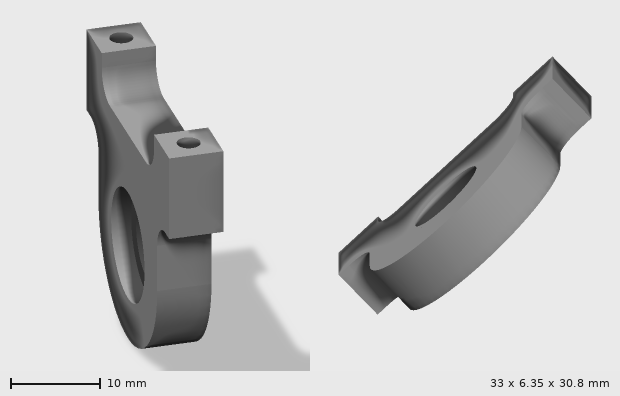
import cadquery as cq

total_width = 33.02
total_height = 30.8
thickness = 6.35
round_radius = 11.72
ear_height = 10.17
ear_width = 6.08
notch_depth = 5.05
fillet_radius = 3.2

counterbore_radius = 6.67
counterbore_depth = 2.35
bushing_outer_radius = 5.6
bushing_inner_radius = 4.75

screw_hole_radius = 1.35
screw_hole_depth = 8.0
screw_hole_inset = 3.07
drill_tip_height = 0.8

half_width = total_width / 2
top_z = total_height - round_radius
ear_bottom_z = top_z - ear_height
notch_floor_z = top_z - notch_depth
notch_half_width = half_width - ear_width
screw_hole_x = half_width - screw_hole_inset
front_y = -thickness / 2
back_y = thickness / 2
counterbore_floor_y = front_y + counterbore_depth


def y_cylinder(radius, start_y, end_y):
    """Cylinder on the bore axis between two Y positions."""
    plane = cq.Workplane("XZ", origin=(0, start_y, 0))
    return plane.circle(radius).extrude(start_y - end_y)


def make_plate():
    """Eared plate with a round lower end and a notched top."""
    plate = (
        cq.Workplane("XZ", origin=(0, back_y, 0))
        .moveTo(-round_radius, 0)
        .threePointArc((0, -round_radius), (round_radius, 0))
        .lineTo(round_radius, ear_bottom_z)
        .lineTo(half_width, ear_bottom_z)
        .lineTo(half_width, top_z)
        .lineTo(notch_half_width, top_z)
        .lineTo(notch_half_width, notch_floor_z)
        .lineTo(-notch_half_width, notch_floor_z)
        .lineTo(-notch_half_width, top_z)
        .lineTo(-half_width, top_z)
        .lineTo(-half_width, ear_bottom_z)
        .lineTo(-round_radius, ear_bottom_z)
        .close()
        .extrude(thickness)
    )
    inner_corners = [
        (side * x, 0, z)
        for side in (-1, 1)
        for x, z in ((round_radius, ear_bottom_z), (notch_half_width, notch_floor_z))
    ]
    for corner in inner_corners:
        plate = plate.edges(cq.selectors.NearestToPointSelector(corner)).fillet(fillet_radius)
    return plate


def make_screw_hole(x):
    """Cutter for a blind vertical hole with a conical drill tip."""
    return (
        cq.Workplane("XZ")
        .moveTo(0, top_z)
        .lineTo(screw_hole_radius, top_z)
        .lineTo(screw_hole_radius, top_z - screw_hole_depth)
        .lineTo(0, top_z - screw_hole_depth - drill_tip_height)
        .close()
        .revolve(360, (0, 0, 0), (0, 1, 0))
        .translate((x, 0, 0))
    )


def make_housing():
    """Plate with its stepped bore and ear holes."""
    housing = make_plate()
    housing = housing.cut(y_cylinder(counterbore_radius, front_y, counterbore_floor_y))
    housing = housing.cut(y_cylinder(bushing_outer_radius, counterbore_floor_y, back_y))
    for side in (-1, 1):
        housing = housing.cut(make_screw_hole(side * screw_hole_x))
    return housing


def make_bushing():
    """Plain ring, flush with the counterbore floor and the back face."""
    sleeve = y_cylinder(bushing_outer_radius, counterbore_floor_y, back_y)
    return sleeve.cut(y_cylinder(bushing_inner_radius, counterbore_floor_y, back_y))


housing = make_housing()
bushing = make_bushing()
result = cq.Compound.makeCompound([housing.val(), bushing.val()])